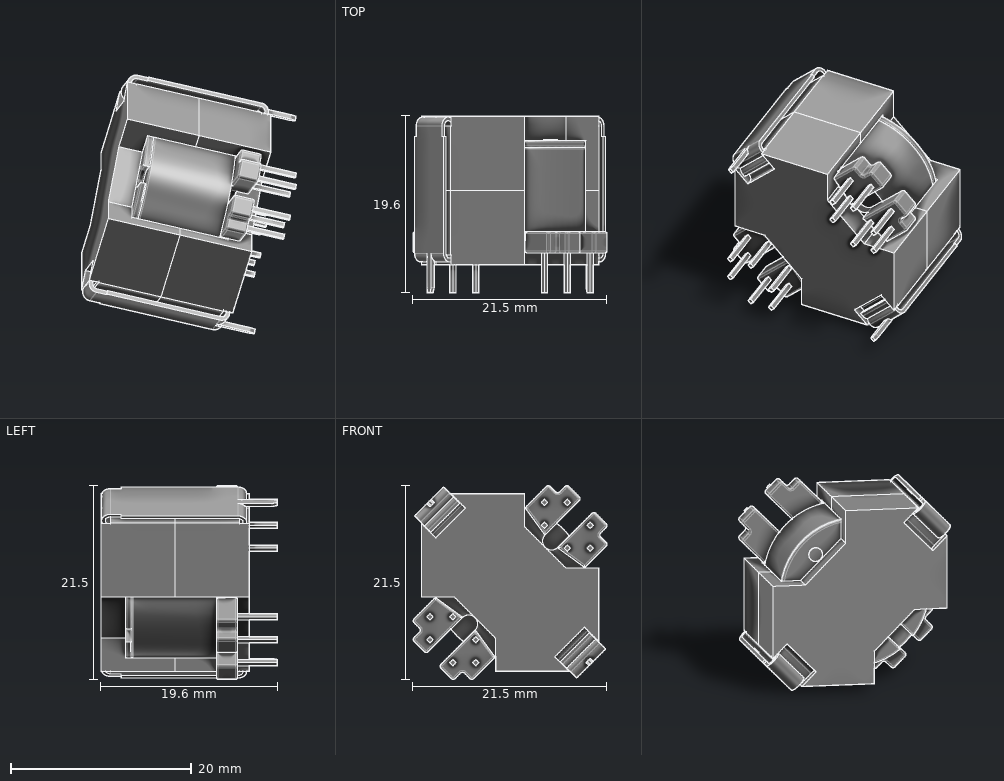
import cadquery as cq
import math

AXIS_START = (0, 0, 0)
AXIS_END = (0, 1, 0)
CLIP_ANGLES = (45, 225)
BLOCK_ANGLES = (-45, 135)
MARKER_ANGLE = -45
WIRE_EXIT_ANGLE = 135

core_half_width = 9.85
core_half_height = 8.25
corner_cut_distance = 11.65
notch_offset = 1.61
notch_cut_distance = 5.5
window_half_height = 5.53
window_radius = 8.52
post_radius = 4.25

recess_half_width = 2.32
recess_floor = 7.17
recess_inner_end = 9.35
recess_fillet = 0.52

clip_outer = 12.72
clip_thickness = 0.4
clip_half_width = 2.28
hook_half_width = 2.02
hook_start = 6.0
hook_radius = 1.0
bend_radius = 0.95
bend_start = -6.97
foot_valley = 11.15
foot_crest = 10.52
foot_crest_height = 0.35
foot_tip = 10.15
tab_width = 0.67
tab_thickness = 0.5
tab_point_length = 0.58
tab_point_width = 0.32

pin_end = -11.35
bobbin_clearance = 0.05
tube_wall = 0.5
flange_radius = 8.37
flange_fillet = 0.17
top_flange_thickness = 0.75
wire_slot_radius = 1.0
wire_slot_distance = 6.5
marker_radius = 0.77
marker_distance = 6.35
marker_height = 0.15

block_bottom = -6.93
block_top = -4.56
block_inner_side = 1.0
block_outer_side = 4.7
block_inner_end = 6.45
block_inner_end_outside = 7.04
block_outer_end = 12.15
block_step_end = 10.7
block_step_side = 3.23
block_fillet = 0.22
block_corner_radius = 0.3

pin_pitch = 2.55
pin_size = 0.5
pin_grid_places = ((1.5, 2.5), (1.5, 3.5), (2.5, 3.5))


def turned(shape, angle):
    """Turn a shape about the winding axis."""
    return shape.rotate(AXIS_START, AXIS_END, angle)


def section(height):
    """A sketch plane across the winding axis, with X to the right and Z up; extrude(-h) goes to +Y."""
    return cq.Workplane("XZ", origin=(0, height, 0))


def cylinder(radius, bottom, top):
    """A solid cylinder on the winding axis."""
    return section(bottom).circle(radius).extrude(bottom - top)




def core_outline():
    """The square with two cut corners and two wide notches, as points in X and Z."""
    cut = corner_cut_distance * math.sqrt(2) - core_half_width
    notch = notch_cut_distance * math.sqrt(2) - notch_offset
    half_turn = [
        (-cut, core_half_width),
        (notch_offset, core_half_width),
        (notch_offset, notch),
        (notch, notch_offset),
        (core_half_width, notch_offset),
        (core_half_width, -cut),
    ]
    return half_turn + [(-x, -z) for x, z in half_turn]


def clip_recess():
    """The pocket in the +Y end of a core half that takes the end of a clip."""
    length = corner_cut_distance - recess_inner_end
    depth = core_half_height - recess_floor
    recess = cq.Workplane("XY").box(
        2 * length, 2 * depth, 2 * recess_half_width, centered=(False, False, True)
    )
    recess = recess.edges("<X and <Y").fillet(recess_fillet)
    return recess.translate((recess_inner_end, recess_floor, 0))


def make_core_half():
    """The +Y core half, from the joint plane to its end face."""
    half = section(0).polyline(core_outline()).close().extrude(-core_half_height)
    window = cylinder(window_radius, 0, window_half_height)
    half = half.cut(window.cut(cylinder(post_radius, 0, window_half_height)))
    for angle in CLIP_ANGLES:
        half = half.cut(turned(clip_recess(), angle))
    return half




def humped_arc_radius(width, height):
    """The radius of an arc that starts level and falls by height over width."""
    return (width**2 + height**2) / (2 * height)


def clip_plate_and_foot():
    """The flat of the clip and its foot: a bend, a valley on the recess floor and a raised tip."""
    inner = clip_outer - clip_thickness
    bend_end = clip_outer - bend_radius
    bend_bottom = bend_start - bend_radius
    valley_bottom = -recess_floor - clip_thickness
    crest_bottom = valley_bottom - foot_crest_height
    valley_radius = humped_arc_radius(bend_end - foot_valley, valley_bottom - bend_bottom)
    crest_radius = humped_arc_radius(foot_valley - foot_crest, foot_crest_height)
    return (
        cq.Workplane("XY")
        .moveTo(inner, hook_start)
        .lineTo(clip_outer, hook_start)
        .lineTo(clip_outer, bend_start)
        .tangentArcPoint((bend_end, bend_bottom), relative=False)
        .radiusArc((foot_valley, valley_bottom), valley_radius)
        .radiusArc((foot_crest, crest_bottom), crest_radius)
        .lineTo(foot_tip, crest_bottom)
        .lineTo(foot_tip, crest_bottom + clip_thickness)
        .lineTo(foot_crest, crest_bottom + clip_thickness)
        .radiusArc((foot_valley, -recess_floor), -crest_radius)
        .radiusArc((bend_end, bend_bottom + clip_thickness), -valley_radius)
        .tangentArcPoint((inner, bend_start), relative=False)
        .close()
        .extrude(clip_half_width, both=True)
    )


def clip_hook():
    """The narrower upper end, curled over half a turn onto the recess floor."""
    center = clip_outer - hook_radius
    inner_radius = hook_radius - clip_thickness
    return (
        cq.Workplane("XY")
        .moveTo(clip_outer, hook_start)
        .lineTo(clip_outer, recess_floor)
        .threePointArc((center, recess_floor + hook_radius), (center - hook_radius, recess_floor))
        .lineTo(center - inner_radius, recess_floor)
        .threePointArc((center, recess_floor + inner_radius), (center + inner_radius, recess_floor))
        .lineTo(center + inner_radius, hook_start)
        .close()
        .extrude(hook_half_width, both=True)
    )


def clip_tab():
    """The earth pin, straight on from the flat of the clip and pointed at its end."""
    half = tab_width / 2
    shoulder = pin_end + tab_point_length
    tip = tab_point_width / 2
    return (
        cq.Workplane("ZY", origin=(clip_outer, 0, 0))
        .polyline([(-half, bend_start), (half, bend_start), (half, shoulder),
                   (tip, pin_end), (-tip, pin_end), (-half, shoulder)])
        .close()
        .extrude(tab_thickness)
    )


def make_clip(angle):
    clip = clip_plate_and_foot().union(clip_hook()).union(clip_tab())
    return turned(clip, angle)




def wire_slot(bottom, top):
    """A round-ended slot that opens at the rim of a flange."""
    slot = section(bottom).center(wire_slot_distance, 0).circle(wire_slot_radius).extrude(bottom - top)
    channel = (
        section(bottom)
        .center(wire_slot_distance, 0)
        .rect(2 * flange_radius, 2 * wire_slot_radius)
        .extrude(bottom - top)
    )
    beyond_round_end = section(bottom).center(wire_slot_distance + flange_radius, 0).rect(
        2 * flange_radius, 2 * flange_radius
    ).extrude(bottom - top)
    return slot.union(channel.intersect(beyond_round_end))


def slotted_disc(bottom, top, slot_angles):
    disc = cylinder(flange_radius, bottom, top)
    for angle in slot_angles:
        disc = disc.cut(turned(wire_slot(bottom, top), angle))
    return disc


def marker():
    """The round boss on the upper flange, beside the core."""
    bottom = window_half_height - flange_fillet
    top = window_half_height + marker_height
    boss = section(bottom).center(marker_distance, 0).circle(marker_radius).extrude(bottom - top)
    return turned(boss, MARKER_ANGLE)


def pin_block(side):
    """One stepped block on the given side (+1 or -1) of the diagonal, rounded on all edges but two."""
    outline = [
        (block_inner_end, side * block_inner_side),
        (block_outer_end, side * block_inner_side),
        (block_outer_end, side * block_step_side),
        (block_step_end, side * block_step_side),
        (block_step_end, side * block_outer_side),
        (block_inner_end_outside, side * block_outer_side),
    ]
    outer_corners = (
        (block_step_end - block_corner_radius, block_bottom, -block_outer_end),
        (block_outer_end + block_corner_radius, block_top, block_outer_end),
    )
    block = section(block_bottom).polyline(outline).close().extrude(block_bottom - block_top)
    block = block.edges("|Y").edges(cq.selectors.BoxSelector(*outer_corners)).fillet(block_corner_radius)
    return block.faces("<Y or >Y").edges().fillet(block_fillet)


def pins():
    """The twelve square pins, mirrored in the diagonal and turned to the opposite corner."""
    places = [(x, z) for x, z in pin_grid_places] + [(z, x) for x, z in pin_grid_places]
    points = []
    for x, z in places:
        points += [(x * pin_pitch, z * pin_pitch), (-x * pin_pitch, -z * pin_pitch)]
    pin_top = (block_bottom + block_top) / 2
    return section(pin_end).pushPoints(points).polygon(4, pin_size * math.sqrt(2)).extrude(pin_end - pin_top)


def make_bobbin():
    tube_inner = post_radius + bobbin_clearance
    winding_top = window_half_height - top_flange_thickness
    bobbin = cylinder(tube_inner + tube_wall, -window_half_height, window_half_height)
    bobbin = bobbin.union(slotted_disc(-window_half_height, block_top, BLOCK_ANGLES))
    top_flange = slotted_disc(winding_top, window_half_height, [WIRE_EXIT_ANGLE])
    bobbin = bobbin.union(top_flange.faces("<Y or >Y").edges().fillet(flange_fillet))
    bobbin = bobbin.cut(cylinder(tube_inner, -window_half_height, window_half_height))
    bobbin = bobbin.union(marker())
    for angle in BLOCK_ANGLES:
        for side in (-1, 1):
            bobbin = bobbin.union(turned(pin_block(side), angle))
    return bobbin.union(pins())




def make_winding():
    """The wound coil between the flanges, with its upper rim rounded."""
    top = window_half_height - top_flange_thickness
    coil = cylinder(flange_radius, block_top, top).faces(">Y").edges().fillet(flange_fillet)
    return coil.cut(cylinder(post_radius + bobbin_clearance + tube_wall, block_top, top))


upper_core = make_core_half()
lower_core = upper_core.mirror("XZ")
bobbin = make_bobbin()
winding = make_winding()
clips = [make_clip(angle).val() for angle in CLIP_ANGLES]

result = cq.Compound.makeCompound(
    [upper_core.val(), lower_core.val(), bobbin.val(), winding.val(), *clips]
)